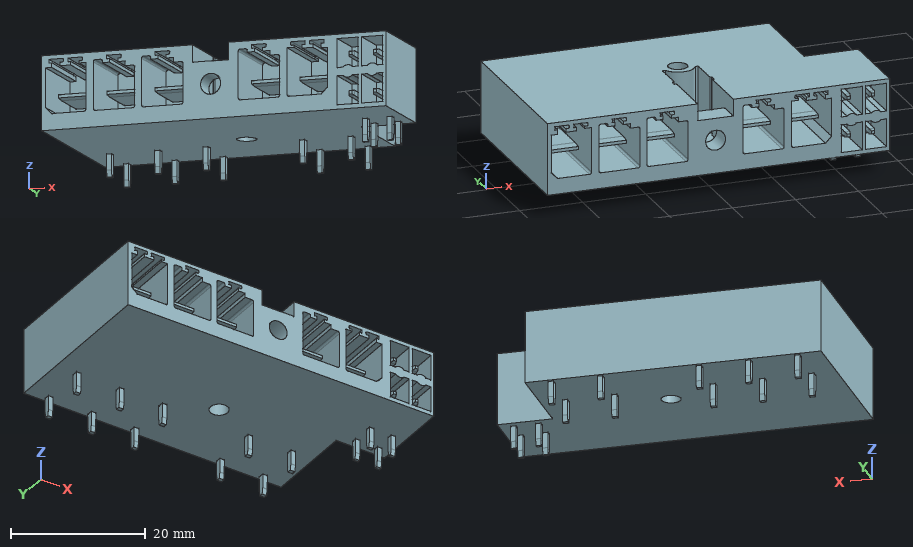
import cadquery as cq

HOUSING_LENGTH = 54.3
HOUSING_DEPTH = 28.3
HOUSING_HEIGHT = 11.4
STEP_X = 45.75
STEP_Y = 13.35

MOUNT_X = 26.65
MOUNT_PLACE = 3
INNER_PLACES = (1, 2, 4)
LAST_PLACE = 5
CONTACT_ROW_LENGTH = 38.05
PITCH = CONTACT_ROW_LENGTH / LAST_PLACE
FIRST_CONTACT_X = MOUNT_X - MOUNT_PLACE * PITCH
PIN_ROW_Z = HOUSING_HEIGHT - 5.7

POCKET_FLOOR_Z = HOUSING_HEIGHT - 8.9
POCKET_DEPTH = 10.85
INNER_POCKET_WIDTH = 6.5
END_POCKET_WIDTH = 6.35
POCKET_CORNER_RADIUS = 0.3
END_POCKET_CHAMFER = 1.0
INNER_HIGH_SHOULDER_WIDTH = 1.4
INNER_LEDGE_WIDTH = 5.0
LEDGE_Z = HOUSING_HEIGHT - 1.75
HIGH_SHOULDER_Z = HOUSING_HEIGHT - 1.2
LOW_SHOULDER_Z = HOUSING_HEIGHT - 2.45
END_HIGH_SHOULDER_Z = HOUSING_HEIGHT - 1.5
END_LOW_SHOULDER_Z = HOUSING_HEIGHT - 1.9

GROOVE_TOP_Z = HOUSING_HEIGHT - 0.65
GROOVE_HEIGHT = 0.55
GROOVE_WIDTH = 2.3
GROOVE_EDGE_RADIUS = 0.2
STEM_WIDTH = 1.3
STEM_OFFSET = 0.45
INNER_GROOVE_INSET = 2.1
END_GROOVE_INSETS = (0.55, 3.55)

MOUNT_HOLE_Y = 16.0
MOUNT_HOLE_DIAMETER = 3.0
BOSS_RADIUS = 2.6
WELL_WIDTH = 5.65
WELL_END_Y = 14.95
WELL_FLOOR_Z = POCKET_FLOOR_Z
SILL_DEPTH = 3.7
SILL_Z = HOUSING_HEIGHT - 2.65
WELL_NOTCH_WIDTH = 6.25
WELL_NOTCH_START = 9.0
WELL_NOTCH_LENGTH = 1.0
FRONT_HOLE_DIAMETER = 3.15
FRONT_HOLE_Z = HOUSING_HEIGHT - 6.15

SIGNAL_COLUMNS = (48.3, 52.15)
SIGNAL_POCKET_WIDTH = 3.3
SIGNAL_POCKET_HEIGHT = 4.4
SIGNAL_POCKET_DEPTH = 6.5
SIGNAL_POCKET_OFFSET = 2.8
SIGNAL_RIB_WIDTH = 1.5
SIGNAL_RIB_HEIGHT = 0.3

TAIL_LENGTH = 3.5
TAIL_TAPER = 1.05
BLADE_WIDTH = 4.4
BLADE_THICKNESS = 0.8
BLADE_TIP_Y = 3.0
BLADE_TIP_LENGTH = 1.35
BLADE_TIP_THICKNESS = 0.5
POWER_TAIL_WIDTH = 0.8
POWER_TAIL_DEPTH = 1.0
POWER_TAIL_TIP = 0.65
FRONT_POWER_TAIL_Y = 19.65
POWER_TAIL_YS = (FRONT_POWER_TAIL_Y, FRONT_POWER_TAIL_Y + PITCH)
SIGNAL_PIN_SIZE = 0.8
SIGNAL_TIP_SIZE = 0.5
SIGNAL_TIP_LENGTH = 0.55
SIGNAL_TIP_Y = 1.3
SIGNAL_ROW_OFFSET = 3.0
LOWER_TAIL_Y = 8.05
UPPER_TAIL_Y = 11.8


def front_box(x_min, x_max, z_min, z_max, depth):
    """Block running back from the front face."""
    return cq.Workplane("XY").box(
        x_max - x_min, depth, z_max - z_min, centered=False
    ).translate((x_min, 0, z_min))


def coding_groove(left_x):
    """T-shaped groove with a rounded right edge and a stem down into the pocket."""
    head = front_box(
        left_x, left_x + GROOVE_WIDTH, GROOVE_TOP_Z - GROOVE_HEIGHT, GROOVE_TOP_Z, POCKET_DEPTH
    ).edges("|Y and >X").fillet(GROOVE_EDGE_RADIUS)
    stem_x = left_x + STEM_OFFSET
    stem = front_box(
        stem_x, stem_x + STEM_WIDTH, LOW_SHOULDER_Z, GROOVE_TOP_Z - GROOVE_HEIGHT / 2, POCKET_DEPTH
    )
    return head.union(stem)


def inner_pocket(center_x):
    """Pocket with a shoulder on each side of one coding groove."""
    left = center_x - INNER_POCKET_WIDTH / 2
    right = center_x + INNER_POCKET_WIDTH / 2
    high_shoulder_end = left + INNER_HIGH_SHOULDER_WIDTH
    ledge_end = left + INNER_LEDGE_WIDTH
    body = front_box(left, right, POCKET_FLOOR_Z, LOW_SHOULDER_Z, POCKET_DEPTH)
    body = body.edges("|Y").edges(">X or <Z").fillet(POCKET_CORNER_RADIUS)
    middle = front_box(left, ledge_end, PIN_ROW_Z, LEDGE_Z, POCKET_DEPTH)
    shoulder = front_box(left, high_shoulder_end, PIN_ROW_Z, HIGH_SHOULDER_Z, POCKET_DEPTH)
    shoulder = shoulder.edges("|Y and >Z").fillet(POCKET_CORNER_RADIUS)
    return body.union(middle).union(shoulder).union(coding_groove(left + INNER_GROOVE_INSET))


def end_pocket(center_x):
    """Pocket with a chamfered outer bottom corner and two coding grooves."""
    left = center_x - END_POCKET_WIDTH / 2
    right = center_x + END_POCKET_WIDTH / 2
    groove_starts = tuple(left + inset for inset in END_GROOVE_INSETS)
    body = front_box(left, right, POCKET_FLOOR_Z, END_LOW_SHOULDER_Z, POCKET_DEPTH)
    body = body.edges("|Y and <X and <Z").chamfer(END_POCKET_CHAMFER)
    body = body.edges("|Y and >X and <Z").fillet(POCKET_CORNER_RADIUS)
    ledge_start = groove_starts[0] + STEM_OFFSET
    ledge = front_box(ledge_start, right, PIN_ROW_Z, LEDGE_Z, POCKET_DEPTH)
    shoulder_start = groove_starts[1] + STEM_OFFSET
    shoulder = front_box(shoulder_start, right, PIN_ROW_Z, END_HIGH_SHOULDER_Z, POCKET_DEPTH)
    pocket = body.union(ledge).union(shoulder)
    for groove_start in groove_starts:
        pocket = pocket.union(coding_groove(groove_start))
    return pocket


def signal_pocket(center_x):
    """Upper signal pocket with a rounded rib along its floor."""
    half = SIGNAL_POCKET_WIDTH / 2
    half_rib = SIGNAL_RIB_WIDTH / 2
    floor_z = PIN_ROW_Z + SIGNAL_POCKET_OFFSET - SIGNAL_POCKET_HEIGHT / 2
    return (
        cq.Workplane("XZ")
        .moveTo(center_x - half, floor_z)
        .lineTo(center_x - half_rib, floor_z)
        .threePointArc((center_x, floor_z + SIGNAL_RIB_HEIGHT), (center_x + half_rib, floor_z))
        .lineTo(center_x + half, floor_z)
        .lineTo(center_x + half, floor_z + SIGNAL_POCKET_HEIGHT)
        .lineTo(center_x - half, floor_z + SIGNAL_POCKET_HEIGHT)
        .close()
        .extrude(-SIGNAL_POCKET_DEPTH)
    )


def mounting_well():
    """Open-topped well that ends against a round boss, with side notches and a front sill."""
    well_length = WELL_END_Y - SILL_DEPTH
    well_height = HOUSING_HEIGHT - WELL_FLOOR_Z
    well = cq.Workplane("XY").box(
        WELL_WIDTH, well_length, well_height, centered=(True, False, False)
    ).translate((MOUNT_X, SILL_DEPTH, WELL_FLOOR_Z))
    boss = (
        cq.Workplane("XY")
        .center(MOUNT_X, MOUNT_HOLE_Y)
        .circle(BOSS_RADIUS)
        .extrude(HOUSING_HEIGHT)
    )
    well = well.cut(boss)
    notches = cq.Workplane("XY").box(
        WELL_NOTCH_WIDTH, WELL_NOTCH_LENGTH, well_height, centered=(True, False, False)
    ).translate((MOUNT_X, WELL_NOTCH_START, WELL_FLOOR_Z))
    half = WELL_WIDTH / 2
    sill = front_box(MOUNT_X - half, MOUNT_X + half, SILL_Z, HOUSING_HEIGHT, SILL_DEPTH)
    return well.union(notches).union(sill)


def make_housing(contacts):
    """L-shaped block with the pockets, the mounting well and holes, and a seat for each contact."""
    body = (
        cq.Workplane("XY")
        .polyline([
            (0, 0),
            (HOUSING_LENGTH, 0),
            (HOUSING_LENGTH, STEP_Y),
            (STEP_X, STEP_Y),
            (STEP_X, HOUSING_DEPTH),
            (0, HOUSING_DEPTH),
        ])
        .close()
        .extrude(HOUSING_HEIGHT)
    )

    first_pocket = end_pocket(FIRST_CONTACT_X)
    row_middle_x = FIRST_CONTACT_X + CONTACT_ROW_LENGTH / 2
    body = body.cut(first_pocket)
    body = body.cut(first_pocket.mirror("YZ", (row_middle_x, 0, 0)))
    for place in INNER_PLACES:
        body = body.cut(inner_pocket(FIRST_CONTACT_X + place * PITCH))

    for column_x in SIGNAL_COLUMNS:
        upper_pocket = signal_pocket(column_x)
        body = body.cut(upper_pocket)
        body = body.cut(upper_pocket.mirror("XY", (0, 0, PIN_ROW_Z)))

    body = body.cut(mounting_well())
    mount_hole = (
        cq.Workplane("XY")
        .center(MOUNT_X, MOUNT_HOLE_Y)
        .circle(MOUNT_HOLE_DIAMETER / 2)
        .extrude(HOUSING_HEIGHT)
    )
    front_hole = (
        cq.Workplane("XZ")
        .center(MOUNT_X, FRONT_HOLE_Z)
        .circle(FRONT_HOLE_DIAMETER / 2)
        .extrude(-SILL_DEPTH)
    )
    body = body.cut(mount_hole).cut(front_hole)

    for contact in contacts:
        body = body.cut(contact)
    return body


def make_tail(center_x, center_y, top_z, width, depth, tip_depth):
    """Solder tail from a contact down through the underside, tapered front and back."""
    taper_z = TAIL_TAPER - TAIL_LENGTH
    return (
        cq.Workplane("YZ")
        .polyline([
            (center_y - depth / 2, top_z),
            (center_y + depth / 2, top_z),
            (center_y + depth / 2, taper_z),
            (center_y + tip_depth / 2, -TAIL_LENGTH),
            (center_y - tip_depth / 2, -TAIL_LENGTH),
            (center_y - depth / 2, taper_z),
        ])
        .close()
        .extrude(width / 2, both=True)
        .translate((center_x, 0, 0))
    )


def make_power_contact(center_x):
    """Flat blade, thinned at its tip, with two solder tails."""
    half = BLADE_THICKNESS / 2
    half_tip = BLADE_TIP_THICKNESS / 2
    shoulder_y = BLADE_TIP_Y + BLADE_TIP_LENGTH
    end_y = POWER_TAIL_YS[-1] + POWER_TAIL_DEPTH / 2
    contact = (
        cq.Workplane("YZ")
        .polyline([
            (BLADE_TIP_Y, -half_tip),
            (shoulder_y, -half),
            (end_y, -half),
            (end_y, half),
            (shoulder_y, half),
            (BLADE_TIP_Y, half_tip),
        ])
        .close()
        .extrude(BLADE_WIDTH / 2, both=True)
        .translate((center_x, 0, PIN_ROW_Z))
    )
    for tail_y in POWER_TAIL_YS:
        contact = contact.union(
            make_tail(
                center_x, tail_y, PIN_ROW_Z, POWER_TAIL_WIDTH, POWER_TAIL_DEPTH, POWER_TAIL_TIP
            )
        )
    return contact


def make_signal_contact(center_x, center_z, tail_y):
    """Square pin with a pyramid tip, bent down into one solder tail."""
    shoulder_y = SIGNAL_TIP_Y + SIGNAL_TIP_LENGTH
    end_y = tail_y + SIGNAL_PIN_SIZE / 2
    tip = (
        cq.Workplane("XZ", origin=(center_x, shoulder_y, center_z))
        .rect(SIGNAL_PIN_SIZE, SIGNAL_PIN_SIZE)
        .workplane(offset=SIGNAL_TIP_LENGTH)
        .rect(SIGNAL_TIP_SIZE, SIGNAL_TIP_SIZE)
        .loft()
    )
    shank = (
        cq.Workplane("XZ", origin=(center_x, shoulder_y, center_z))
        .rect(SIGNAL_PIN_SIZE, SIGNAL_PIN_SIZE)
        .extrude(shoulder_y - end_y)
    )
    tail = make_tail(center_x, tail_y, center_z, SIGNAL_PIN_SIZE, SIGNAL_PIN_SIZE, SIGNAL_TIP_SIZE)
    return shank.union(tip).union(tail)


lower_row_z = PIN_ROW_Z - SIGNAL_ROW_OFFSET
upper_row_z = PIN_ROW_Z + SIGNAL_ROW_OFFSET

power_contacts = []
for place in (0, *INNER_PLACES, LAST_PLACE):
    power_contacts.append(make_power_contact(FIRST_CONTACT_X + place * PITCH))

signal_contacts = []
for column_x in SIGNAL_COLUMNS:
    signal_contacts.append(make_signal_contact(column_x, lower_row_z, LOWER_TAIL_Y))
    signal_contacts.append(make_signal_contact(column_x, upper_row_z, UPPER_TAIL_Y))

contacts = power_contacts + signal_contacts
housing = make_housing(contacts)

result = cq.Compound.makeCompound([housing.val(), *[contact.val() for contact in contacts]])